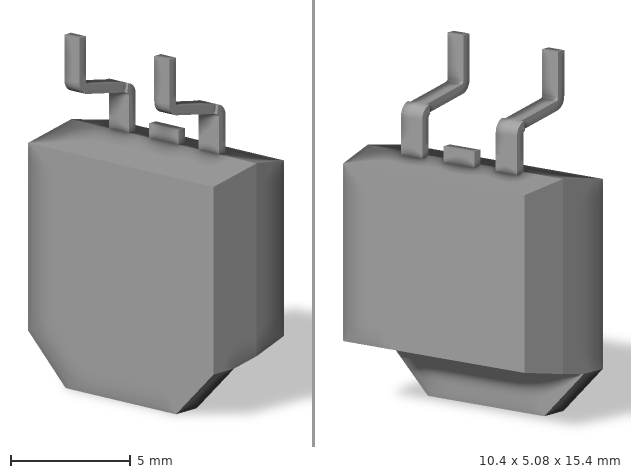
import cadquery as cq
import math


width = 10.45
front_depth = 2.7
back_depth = 2.13
parting_top = 10.74
draft = math.tan(math.radians(10))

tab_height = 2.11
tab_thickness = 1.3
tab_corner = tab_height

total_height = 15.43
lead_thickness = 0.42
lead_spacing = 5.06
shoulder_width = 1.14
foot_width = 0.85
shoulder_bend_height = 12.36
shoulder_inner_radius = 0.14
foot_inner_radius = 0.14
foot_overhang = 0.25
bend_angle = 80
stub_width = 1.65
stub_top = 11.37
lead_root = parting_top - draft * lead_thickness


def make_housing():
    tab_back = tab_thickness - front_depth
    back_bottom = tab_height + draft * (back_depth - tab_back)
    side_profile = [
        (-front_depth, tab_height),
        (tab_back, tab_height),
        (back_depth, back_bottom),
        (back_depth, parting_top - draft * back_depth),
        (0, parting_top),
        (-front_depth, parting_top - draft * front_depth),
    ]
    body = cq.Workplane("YZ").polyline(side_profile).close().extrude(width / 2, both=True)
    half_width = width / 2
    half_back = half_width - draft * back_depth
    plan = [
        (-half_width, -front_depth),
        (half_width, -front_depth),
        (half_width, 0),
        (half_back, back_depth),
        (-half_back, back_depth),
        (-half_width, 0),
    ]
    return body.intersect(cq.Workplane("XY").polyline(plan).close().extrude(parting_top))


def make_tab():
    half_top = width / 2
    half_bottom = half_top - tab_corner
    outline = [
        (-half_bottom, 0),
        (half_bottom, 0),
        (half_top, tab_height),
        (-half_top, tab_height),
    ]
    tab = cq.Workplane("XZ").polyline(outline).close().extrude(tab_thickness)
    return tab.translate((0, tab_thickness - front_depth, 0))


def polar(center, radius, degrees):
    """Point in the YZ plane at a radius and angle about a center."""
    angle = math.radians(degrees)
    return (center[0] + radius * math.cos(angle), center[1] + radius * math.sin(angle))


def make_lead(x):
    shoulder_outer = shoulder_inner_radius + lead_thickness
    foot_outer = foot_inner_radius + lead_thickness
    shoulder_center = (-shoulder_inner_radius, shoulder_bend_height)
    bend_inner = polar(shoulder_center, shoulder_inner_radius, bend_angle)
    bend_outer = polar(shoulder_center, shoulder_outer, bend_angle)

    foot_front = -front_depth - foot_overhang
    foot_back = foot_front + lead_thickness
    foot_center_y = foot_front + foot_outer
    foot_angle = 180 + bend_angle
    middle_end_y = polar((foot_center_y, 0), foot_outer, foot_angle)[0]
    rise = (bend_inner[0] - middle_end_y) / math.tan(math.radians(bend_angle))
    middle_end_z = bend_inner[1] + rise
    foot_center = (foot_center_y, middle_end_z + foot_outer * math.sin(math.radians(bend_angle)))
    foot_mid_angle = 180 + bend_angle / 2

    shoulder = (
        cq.Workplane("YZ")
        .moveTo(0, parting_top)
        .lineTo(0, shoulder_bend_height)
        .threePointArc(polar(shoulder_center, shoulder_inner_radius, bend_angle / 2), bend_inner)
        .lineTo(*bend_outer)
        .threePointArc(
            polar(shoulder_center, shoulder_outer, bend_angle / 2),
            (lead_thickness, shoulder_bend_height),
        )
        .lineTo(lead_thickness, lead_root)
        .close()
        .extrude(shoulder_width / 2, both=True)
    )
    foot = (
        cq.Workplane("YZ")
        .moveTo(*bend_inner)
        .lineTo(middle_end_y, middle_end_z)
        .threePointArc(polar(foot_center, foot_outer, foot_mid_angle), (foot_front, foot_center[1]))
        .lineTo(foot_front, total_height)
        .lineTo(foot_back, total_height)
        .lineTo(foot_back, foot_center[1])
        .threePointArc(
            polar(foot_center, foot_inner_radius, foot_mid_angle),
            polar(foot_center, foot_inner_radius, foot_angle),
        )
        .lineTo(*bend_outer)
        .close()
        .extrude(foot_width / 2, both=True)
    )
    return shoulder.union(foot).translate((x, 0, 0))


def make_center_stub():
    profile = [
        (0, parting_top),
        (0, stub_top),
        (lead_thickness, stub_top),
        (lead_thickness, lead_root),
    ]
    return cq.Workplane("YZ").polyline(profile).close().extrude(stub_width / 2, both=True)


housing = make_housing()
tab = make_tab()
center_stub = make_center_stub()
leads = [make_lead(side * lead_spacing / 2) for side in (-1, 1)]

bodies = [housing, tab, center_stub, *leads]
result = cq.Compound.makeCompound([body.solids().val() for body in bodies])